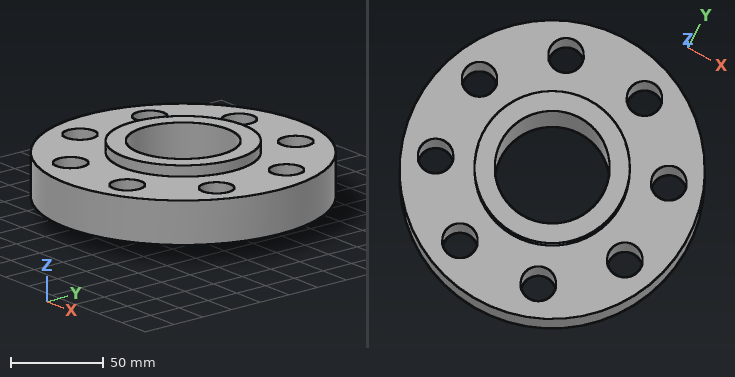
import cadquery as cq

flange_diameter = 165.1
flange_thickness = 25.5

hub_diameter = 84.0
hub_height_above = 6.5
hub_height_below = 11.0
bore_diameter = 62.0

bolt_hole_count = 8
bolt_hole_diameter = 19.2
bolt_circle_diameter = 127.0
bolt_spacing_angle = 360 / bolt_hole_count

hub_length = hub_height_below + flange_thickness + hub_height_above

hub = cq.Workplane("XY").circle(hub_diameter / 2).extrude(hub_length)
disc = (
    cq.Workplane("XY")
    .workplane(offset=hub_height_below)
    .circle(flange_diameter / 2)
    .extrude(flange_thickness)
)

bore = cq.Workplane("XY").circle(bore_diameter / 2).extrude(hub_length)
bolt_holes = (
    cq.Workplane("XY")
    .polarArray(bolt_circle_diameter / 2, bolt_spacing_angle / 2, 360, bolt_hole_count)
    .circle(bolt_hole_diameter / 2)
    .extrude(hub_length)
)

result = disc.union(hub).cut(bore).cut(bolt_holes)